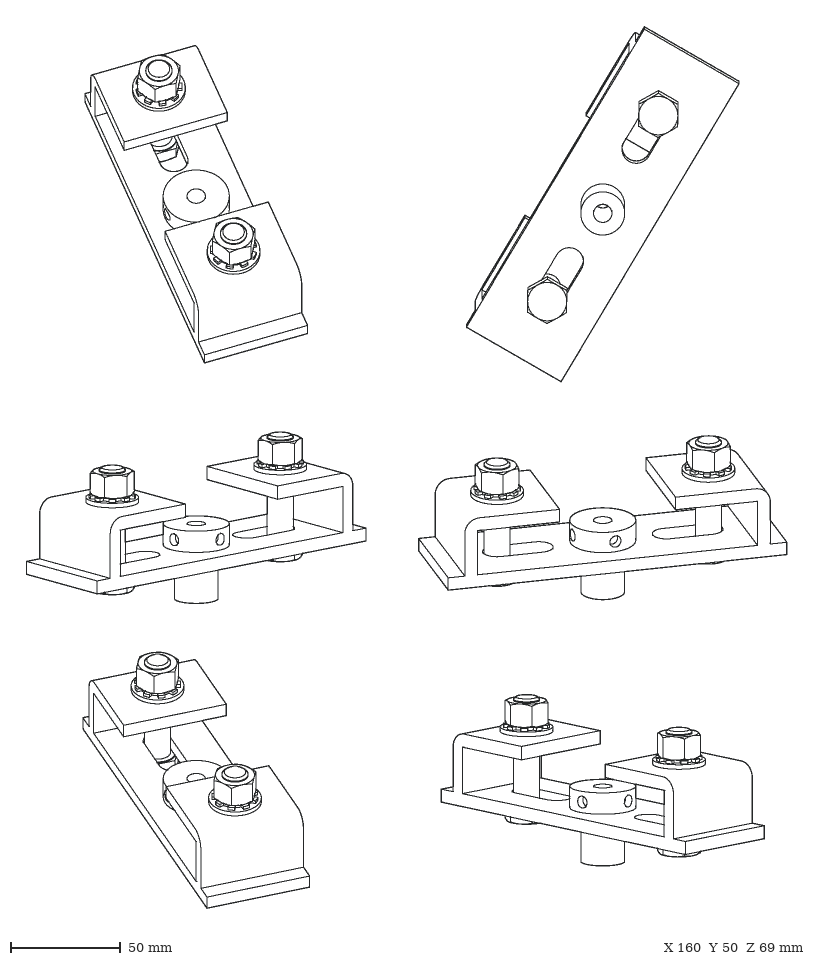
import cadquery as cq
import math

plate_length = 160
plate_width = 50.0
plate_thickness = 6.0

bracket_outer_x = 72.2
bracket_inner_x = 27.4
wall_thickness = 6.0
flange_thickness = 6.2
bracket_top_z = 34.0
bend_radius = 7.0

slot_width = 13.0
slot_inner_end_x = 23.7
slot_outer_end_x = 56.5

bolt_x = 50.0
bolt_diameter = 12.0
bolt_tip_z = 50.0
bolt_tip_chamfer = 1.1
hex_sides = 6
hex_across_flats = 17.8
hex_chamfer_angle = 30
head_height = 7.5
bearing_face_diameter = 16.6
bearing_face_height = 0.5
washer_diameter = 24
washer_thickness = 2.0
tooth_count = 9
tooth_angle = 17
tooth_ring_diameter = 21.1
tooth_root_diameter = 16.6
tooth_ring_thickness = 1.5
nut_height = 10.9

collar_diameter = 30.0
collar_height = 10.0
pin_diameter = 20.0
pin_bottom_z = -19.0
bore_diameter = 8.3

side_hole_diameter = 5.5
side_hole_depth = 4.0
side_hole_count = 4
side_hole_start_angle = 7.2
drill_point_angle = 118


def cylinder(diameter, bottom_z, height):
    return cq.Workplane("XY").workplane(offset=bottom_z).circle(diameter / 2).extrude(height)


def plate():
    slot_length = slot_outer_end_x - slot_inner_end_x
    slot_x = (slot_outer_end_x + slot_inner_end_x) / 2
    return (
        cq.Workplane("XY")
        .rect(plate_length, plate_width)
        .extrude(plate_thickness)
        .faces(">Z")
        .workplane()
        .pushPoints([(-slot_x, 0), (slot_x, 0)])
        .slot2D(slot_length, slot_width)
        .cutThruAll()
    )


def bracket():
    """Bracket on the +X half of the plate."""
    wall_inner_x = bracket_outer_x - wall_thickness
    flange_bottom_z = bracket_top_z - flange_thickness
    return (
        cq.Workplane("XZ")
        .moveTo(bracket_outer_x, plate_thickness)
        .lineTo(bracket_outer_x, bracket_top_z - bend_radius)
        .radiusArc((bracket_outer_x - bend_radius, bracket_top_z), -bend_radius)
        .lineTo(bracket_inner_x, bracket_top_z)
        .lineTo(bracket_inner_x, flange_bottom_z)
        .lineTo(wall_inner_x, flange_bottom_z)
        .lineTo(wall_inner_x, plate_thickness)
        .close()
        .extrude(plate_width / 2, both=True)
    )


def hexagon(bottom_z, height, chamfer_bottom, chamfer_top):
    """Hexagonal prism with corners on +Y and -Y, cut back by cones that touch the flats."""
    flat_radius = hex_across_flats / 2
    corner_radius = flat_radius / math.cos(math.pi / hex_sides)
    drop = (corner_radius - flat_radius) * math.tan(math.radians(hex_chamfer_angle))
    top_z = bottom_z + height
    prism = (
        cq.Workplane("XY")
        .workplane(offset=bottom_z)
        .polygon(hex_sides, 2 * corner_radius)
        .extrude(height)
        .rotate((0, 0, 0), (0, 0, 1), 180 / hex_sides)
    )
    outline = cq.Workplane("XZ").moveTo(0, bottom_z)
    if chamfer_bottom:
        outline = outline.lineTo(flat_radius, bottom_z).lineTo(corner_radius, bottom_z + drop)
    else:
        outline = outline.lineTo(corner_radius, bottom_z)
    if chamfer_top:
        outline = outline.lineTo(corner_radius, top_z - drop).lineTo(flat_radius, top_z)
    else:
        outline = outline.lineTo(corner_radius, top_z)
    envelope = outline.lineTo(0, top_z).close().revolve(360, (0, 0, 0), (0, 1, 0))
    return prism.intersect(envelope)


def lock_washer(bottom_z):
    """Ring with outward teeth; one tooth points along +Y."""
    tooth_width = tooth_ring_diameter * math.sin(math.radians(tooth_angle / 2))
    ring = cylinder(tooth_root_diameter, bottom_z, tooth_ring_thickness)
    for index in range(tooth_count):
        tooth = (
            cq.Workplane("XY")
            .workplane(offset=bottom_z)
            .center(0, tooth_ring_diameter / 2)
            .rect(tooth_width, tooth_ring_diameter)
            .extrude(tooth_ring_thickness)
            .rotate((0, 0, 0), (0, 0, 1), index * 360 / tooth_count)
        )
        ring = ring.union(tooth)
    return ring.intersect(cylinder(tooth_ring_diameter, bottom_z, tooth_ring_thickness))


def fastener():
    """Bolt from below with washer, lock washer and nut on top of the flange."""
    shank = cylinder(bolt_diameter, -head_height, bolt_tip_z + head_height)
    shank = shank.faces(">Z").chamfer(bolt_tip_chamfer)
    lock_washer_z = bracket_top_z + washer_thickness
    nut_z = lock_washer_z + tooth_ring_thickness
    return (
        shank.union(hexagon(-head_height, head_height - bearing_face_height, True, False))
        .union(cylinder(bearing_face_diameter, -bearing_face_height, bearing_face_height))
        .union(cylinder(washer_diameter, bracket_top_z, washer_thickness))
        .union(lock_washer(lock_washer_z))
        .union(hexagon(nut_z, nut_height, True, True))
        .translate((bolt_x, 0, 0))
    )


def spindle():
    pin = cylinder(pin_diameter, pin_bottom_z, plate_thickness - pin_bottom_z)
    return pin.union(cylinder(collar_diameter, plate_thickness, collar_height))


def side_hole():
    """Drilled hole with a conical end, entering the collar from -Y."""
    radius = side_hole_diameter / 2
    bottom_y = side_hole_depth - collar_diameter / 2
    tip_y = bottom_y + radius / math.tan(math.radians(drill_point_angle / 2))
    return (
        cq.Workplane("XY")
        .moveTo(0, -collar_diameter)
        .lineTo(radius, -collar_diameter)
        .lineTo(radius, bottom_y)
        .lineTo(0, tip_y)
        .close()
        .revolve(360, (0, 0, 0), (0, 1, 0))
        .translate((0, 0, plate_thickness + collar_height / 2))
    )


clamp = bracket().union(fastener())
result = plate().union(spindle())
for turn in (0, 180):
    result = result.union(clamp.rotate((0, 0, 0), (0, 0, 1), turn))

bore_length = plate_thickness + collar_height - pin_bottom_z
result = result.cut(cylinder(bore_diameter, pin_bottom_z, bore_length))
for index in range(side_hole_count):
    angle = side_hole_start_angle + index * 360 / side_hole_count
    result = result.cut(side_hole().rotate((0, 0, 0), (0, 0, 1), angle))